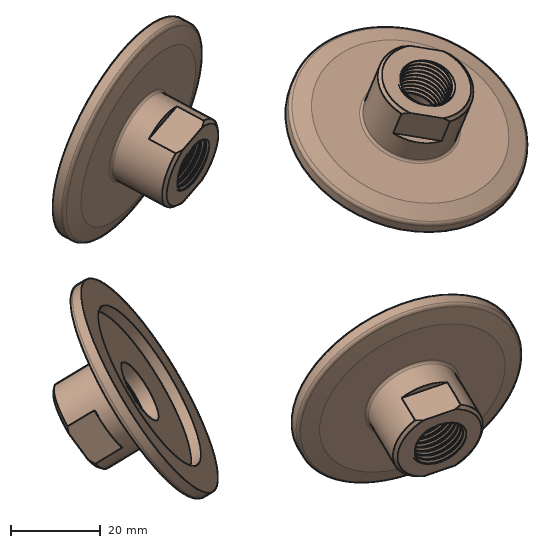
import cadquery as cq
import math

flange_diameter = 55.0
total_length = 19.0

flange_thickness = 4.35
taper_angle = 15.0
taper_end_radius = 22.65
rim_fillet = 0.9
selection_margin = 0.05
recess_diameter = 41.2
recess_depth = 2.6

hub_diameter = 22.0
hub_root_fillet = 0.6
hub_chamfer = 0.75
across_flats = 19.0
flat_length = 8.0

counterbore_diameter = 15.0
counterbore_depth = 3.3
thread_minor_diameter = 12.0
thread_major_diameter = 13.2
thread_pitch = 1.3
thread_angle = 60.0
thread_root_width = 0.35
thread_start_angle = 80.0
groove_overlap = 0.1
countersink_diameter = 13.5

flange_radius = flange_diameter / 2
hub_radius = hub_diameter / 2
minor_radius = thread_minor_diameter / 2
major_radius = thread_major_diameter / 2
thread_start = recess_depth + counterbore_depth
countersink_depth = (countersink_diameter - thread_minor_diameter) / 2


def cylinder(start, length, diameter):
    """Round bar along X."""
    return cq.Workplane("YZ", origin=(start, 0, 0)).circle(diameter / 2).extrude(length)


def make_flange():
    taper_drop = flange_radius - taper_end_radius
    rim_width = flange_thickness - taper_drop * math.tan(math.radians(taper_angle))
    profile = [
        (0, 0),
        (0, flange_radius),
        (rim_width, flange_radius),
        (flange_thickness, taper_end_radius),
        (flange_thickness, 0),
    ]
    flange = cq.Workplane("XY").polyline(profile).close().revolve(360, (0, 0, 0), (1, 0, 0))
    rim_corner = cq.selectors.BoxSelector(
        (rim_width - selection_margin, -flange_diameter, -flange_diameter),
        (rim_width + selection_margin, flange_diameter, flange_diameter),
        boundingbox=True,
    )
    return flange.edges(rim_corner).fillet(rim_fillet)


def make_hub():
    """Chamfered hub with a concave fillet where it meets the flange."""
    root_end = flange_thickness + hub_root_fillet
    root_radius = hub_radius + hub_root_fillet
    arc_offset = hub_root_fillet * (1 - math.sqrt(0.5))
    profile = (
        cq.Workplane("XY")
        .moveTo(recess_depth, 0)
        .lineTo(recess_depth, root_radius)
        .lineTo(flange_thickness, root_radius)
        .threePointArc((flange_thickness + arc_offset, hub_radius + arc_offset), (root_end, hub_radius))
        .lineTo(total_length - hub_chamfer, hub_radius)
        .lineTo(total_length, hub_radius - hub_chamfer)
        .lineTo(total_length, 0)
        .close()
    )
    return profile.revolve(360, (0, 0, 0), (1, 0, 0))


def make_flat_cutter(side):
    """Block outside one wrench flat; side is +1 for the top and -1 for the bottom."""
    center = (total_length - flat_length / 2, 0, side * (across_flats + hub_radius) / 2)
    return cq.Workplane("XY").box(flat_length, hub_diameter, hub_radius).translate(center)


def make_thread_groove():
    """Helical V groove with a narrow flat root, trimmed square at both ends of the thread."""
    thread_length = total_length - thread_start
    inner_radius = minor_radius - groove_overlap
    root_half_width = thread_root_width / 2
    flank_width = (major_radius - inner_radius) * math.tan(math.radians(thread_angle / 2))
    mouth_half_width = root_half_width + flank_width
    helix = cq.Wire.makeHelix(thread_pitch, thread_length + 2 * thread_pitch, minor_radius)
    groove = (
        cq.Workplane("XZ")
        .moveTo(inner_radius, -mouth_half_width)
        .lineTo(major_radius, -root_half_width)
        .lineTo(major_radius, root_half_width)
        .lineTo(inner_radius, mouth_half_width)
        .close()
        .sweep(cq.Workplane(obj=helix), isFrenet=True)
        .rotate((0, 0, 0), (0, 1, 0), 90)
        .rotate((0, 0, 0), (1, 0, 0), thread_start_angle)
        .translate((thread_start - thread_pitch, 0, 0))
    )
    return groove.intersect(cylinder(thread_start, thread_length, hub_diameter))


def make_countersink():
    cone = cq.Solid.makeCone(
        countersink_diameter / 2, minor_radius, countersink_depth,
        pnt=cq.Vector(thread_start, 0, 0), dir=cq.Vector(1, 0, 0),
    )
    return cq.Workplane(obj=cone)


result = make_flange().union(make_hub())
for side in (1, -1):
    result = result.cut(make_flat_cutter(side))
result = (
    result.cut(cylinder(0, recess_depth, recess_diameter))
    .cut(cylinder(0, thread_start, counterbore_diameter))
    .cut(cylinder(0, total_length, thread_minor_diameter))
    .cut(make_thread_groove())
    .cut(make_countersink())
)